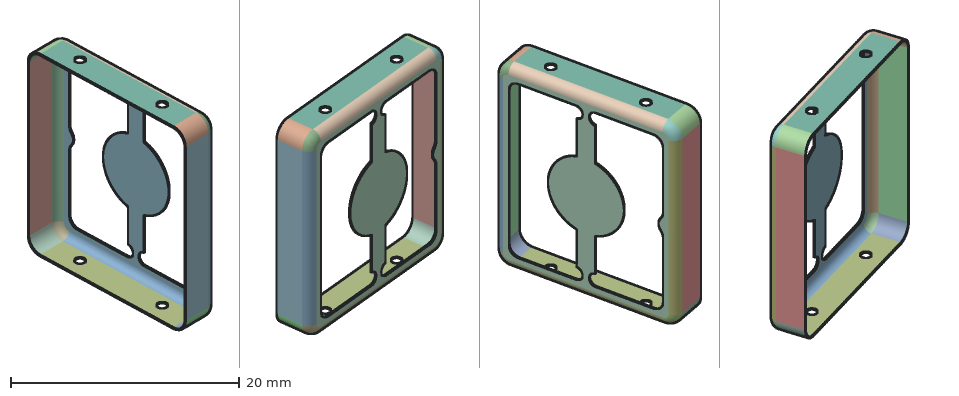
import cadquery as cq
import math

WIDTH = 19.2
HEIGHT = 21.5
DEPTH = 3.8
SHEET = 0.15
CORNER_RADIUS = 1.5
RIM_RADIUS = 0.9

WINDOW_MARGIN = 1.5
WINDOW_CORNER_RADIUS = 1.0
WINDOW_WIDTH = WIDTH - 2 * WINDOW_MARGIN
WINDOW_HEIGHT = HEIGHT - 2 * WINDOW_MARGIN

DISC_RADIUS = 4.0
STRAP_WIDTH = 1.94
STRAP_FILLET = 0.1
NECK_WIDTH = 0.69
NOTCH_RADIUS = 0.69

BUMP_HEIGHT = 0.47
BUMP_RADIUS = 1.0

HOLE_DIAMETER = 1.0
HOLE_SPACING = 10.0
HOLE_FROM_FLOOR = 2.0

BACK = DEPTH / 2
FLOOR_INSIDE = BACK - SHEET


def rounded_block(width, height, back, corner_radius, rim_radius):
    """Block from the open face to y = back, with a rounded +Y rim."""
    front = -DEPTH / 2
    block = cq.Workplane("XZ", origin=(0, front, 0)).rect(width, height).extrude(front - back)
    return block.edges("|Y").fillet(corner_radius).faces(">Y").edges().fillet(rim_radius)


def floor_sketch():
    """Sketch plane on the outer floor face; extruding goes toward -Y."""
    return cq.Workplane("XZ", origin=(0, BACK, 0))


def make_shell():
    outer = rounded_block(WIDTH, HEIGHT, BACK, CORNER_RADIUS, RIM_RADIUS)
    inner = rounded_block(
        WIDTH - 2 * SHEET,
        HEIGHT - 2 * SHEET,
        FLOOR_INSIDE,
        CORNER_RADIUS - SHEET,
        RIM_RADIUS - SHEET,
    )
    return outer.cut(inner)


def make_window():
    window = floor_sketch().rect(WINDOW_WIDTH, WINDOW_HEIGHT).extrude(SHEET)
    return window.edges("|Y").fillet(WINDOW_CORNER_RADIUS)


def make_disc_and_strap():
    strap = floor_sketch().rect(STRAP_WIDTH, WINDOW_HEIGHT).extrude(SHEET)
    body = floor_sketch().circle(DISC_RADIUS).extrude(SHEET).union(strap)
    inner_corners = cq.selectors.BoxSelector(
        (-STRAP_WIDTH, -DEPTH, -DISC_RADIUS), (STRAP_WIDTH, DEPTH, DISC_RADIUS)
    )
    body = body.edges("|Y").edges(inner_corners).fillet(STRAP_FILLET)
    notch_x = NECK_WIDTH / 2 + NOTCH_RADIUS
    notch_z = WINDOW_HEIGHT / 2 - NOTCH_RADIUS
    notches = (
        floor_sketch().rect(2 * notch_x, 2 * notch_z, forConstruction=True)
        .vertices().circle(NOTCH_RADIUS).extrude(SHEET)
    )
    body = body.cut(notches)
    for side in (-1, 1):
        for end in (-1, 1):
            body = body.union(make_neck_flare(side, end))
    return body


def make_neck_flare(side, end):
    """Concave corner between a neck and the window edge."""
    edge_z = end * WINDOW_HEIGHT / 2
    neck_x = side * NECK_WIDTH / 2
    centre_x = neck_x + side * NOTCH_RADIUS
    centre_z = edge_z - end * NOTCH_RADIUS
    reach = NOTCH_RADIUS * math.sqrt(0.5)
    return (
        floor_sketch().moveTo(neck_x, edge_z).lineTo(neck_x, centre_z)
        .threePointArc((centre_x - side * reach, centre_z + end * reach), (centre_x, edge_z))
        .close().extrude(SHEET)
    )


def make_bump():
    """Convex tip blended into the window edge by two equal concave arcs."""
    edge_x = -WINDOW_WIDTH / 2
    sweep = math.acos(1 - BUMP_HEIGHT / (2 * BUMP_RADIUS))
    half_length = 2 * BUMP_RADIUS * math.sin(sweep)
    blend_x = edge_x + BUMP_HEIGHT / 2
    blend_z = half_length / 2
    mid_x = edge_x + BUMP_RADIUS * (1 - math.cos(sweep / 2))
    mid_z = half_length - BUMP_RADIUS * math.sin(sweep / 2)
    return (
        floor_sketch().moveTo(edge_x, -half_length)
        .threePointArc((mid_x, -mid_z), (blend_x, -blend_z))
        .threePointArc((edge_x + BUMP_HEIGHT, 0), (blend_x, blend_z))
        .threePointArc((mid_x, mid_z), (edge_x, half_length))
        .close().extrude(SHEET)
    )


def make_wall_holes():
    return (
        cq.Workplane("XY").center(0, BACK - HOLE_FROM_FLOOR)
        .rarray(HOLE_SPACING, 0.22, 2, 1).circle(HOLE_DIAMETER / 2).extrude(HEIGHT / 2, both=True)
    )


result = (
    make_shell()
    .cut(make_window())
    .union(make_disc_and_strap())
    .union(make_bump())
    .cut(make_wall_holes())
)